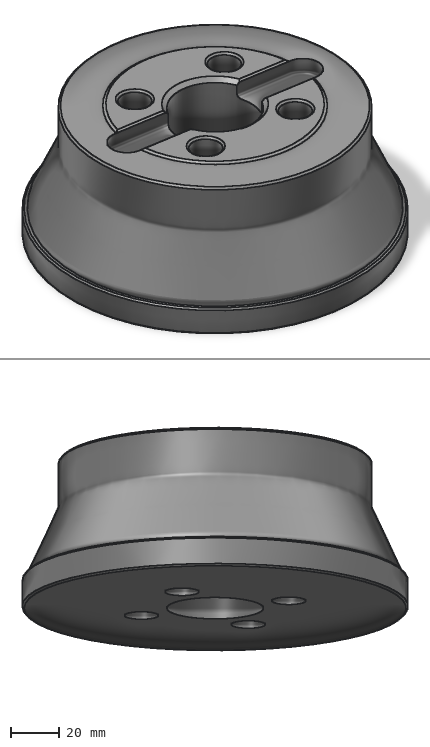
import cadquery as cq

total_height = 63.0
edge_break = 1.0

rim_radius = 80.0
rim_height = 12.5
rim_edge_break = 0.8

flare_radius = 155.5 / 2
neck_radius = 130.0 / 2
flare_start_height = 15.0
flare_end_height = 41.0
neck_start_height = 43.3
flare_edge_inset = 0.5
flare_top_offset = 0.5
edge_bulge = 0.2

pad_height = 0.8
pad_base_radius = 46.5
pad_top_radius = 45.2
shoulder_height = total_height - pad_height

bore_radius = 40 / 2
bore_chamfer_width = 2.0
bore_chamfer_depth = 1.9
bolt_hole_radius = 14.0 / 2
bolt_offset = 23.7
bolt_positions = [(sx * bolt_offset, sy * bolt_offset) for sx in (-1, 1) for sy in (-1, 1)]

slot_half_width = 8.3
slot_end_center = 46.5
slot_depth = 8.0
slot_floor_fillet = 2.0
overcut = 1.6


def through_holes():
    """Bore and four bolt holes, as cutting shapes through the full height."""
    bore = cq.Workplane("XY").circle(bore_radius).extrude(total_height)
    bolts = cq.Workplane("XY").pushPoints(bolt_positions).circle(bolt_hole_radius).extrude(total_height)
    return bore.union(bolts)


def countersink(radius, width, depth):
    """Cone that breaks the upper edge of a hole on the Z axis."""
    return cq.Workplane("XZ").polyline([
        (0, total_height - depth),
        (radius, total_height - depth),
        (radius + width, total_height),
        (0, total_height),
    ]).close().revolve(360, (0, 0, 0), (0, 1, 0))


def key_slot():
    """Round-ended slot with a filleted floor and chamfered edges along the pad."""
    slot_length = 2 * (slot_end_center + slot_half_width)
    slot = (
        cq.Workplane("XY", origin=(0, 0, total_height - slot_depth))
        .slot2D(slot_length, 2 * slot_half_width, 90)
        .extrude(slot_depth + overcut)
        .faces("<Z").edges().fillet(slot_floor_fillet)
    )
    edge_chamfer = (
        cq.Workplane("XZ", origin=(0, slot_end_center, 0))
        .polyline([
            (-slot_half_width, shoulder_height),
            (slot_half_width, shoulder_height),
            (slot_half_width + edge_break, total_height),
            (-slot_half_width - edge_break, total_height),
        ])
        .close()
        .extrude(2 * slot_end_center)
    )
    return slot.union(edge_chamfer)


def make_rim():
    """Flat ring below the hub, with both outer edges broken."""
    rim = cq.Workplane("XY").circle(rim_radius).extrude(rim_height)
    rim = rim.faces("<Z or >Z").edges().chamfer(rim_edge_break)
    return rim.cut(through_holes())


def make_hub():
    """Flared hub with its neck, pad, bore, bolt holes and key slot."""
    cone_base_radius = flare_radius - flare_edge_inset
    cone_top_radius = neck_radius + flare_top_offset
    hub = (
        cq.Workplane("XZ")
        .moveTo(0, rim_height)
        .lineTo(flare_radius, rim_height)
        .sagittaArc((cone_base_radius, flare_start_height), -edge_bulge)
        .lineTo(cone_top_radius, flare_end_height)
        .sagittaArc((neck_radius, neck_start_height), edge_bulge)
        .lineTo(neck_radius, shoulder_height - edge_break)
        .lineTo(neck_radius - edge_break, shoulder_height)
        .lineTo(pad_base_radius, shoulder_height)
        .lineTo(pad_top_radius, total_height)
        .lineTo(0, total_height)
        .close()
        .revolve(360, (0, 0, 0), (0, 1, 0))
    )
    hub = hub.cut(through_holes()).cut(key_slot())
    hub = hub.cut(countersink(bore_radius, bore_chamfer_width, bore_chamfer_depth))
    bolt_countersink = countersink(bolt_hole_radius, edge_break, edge_break)
    for x, y in bolt_positions:
        hub = hub.cut(bolt_countersink.translate((x, y, 0)))
    return hub


rim = make_rim()
hub = make_hub()
result = cq.Compound.makeCompound([rim.val(), hub.val()])